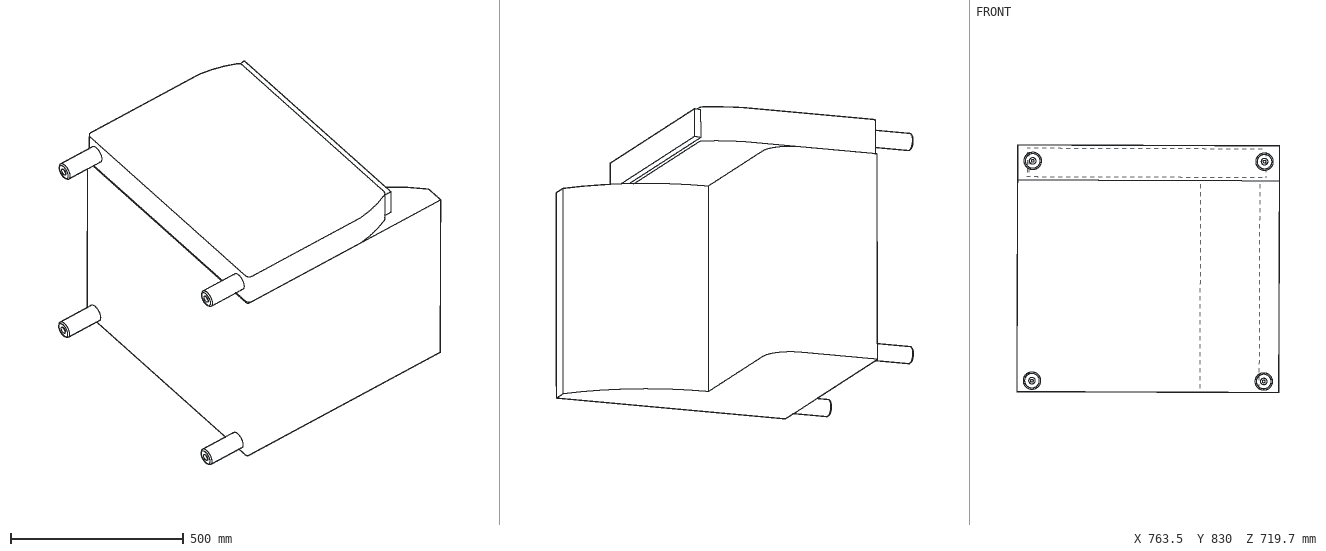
import cadquery as cq

WIDTH = 761.0
HEIGHT = 717.0
LEAN_ANGLE = 0.2

HEAD_HEIGHT = 102.0
HEAD_DEPTH = 537.0
HEAD_SHOULDER_Y = 415.0
HEAD_BACK_INSET = 36.5
HEAD_BOW = 6.0
HEAD_FRONT_Y = 2.5
HEAD_FRONT_RADIUS = 14.0
HEAD_BACK_RADIUS = 14.0
HEAD_BOTTOM = HEIGHT - HEAD_HEIGHT

PLATE_THICKNESS = 21.5
PLATE_HEIGHT = 83.0
PLATE_LEFT = 28.0
PLATE_RIGHT = WIDTH - 40.0
PLATE_TAPER = 5.0
PLATE_LIP = 5.0

BASE_DEPTH = 325.0
BASE_FRONT_RADIUS = 7.0
BASE_BACK_RADIUS = 85.5
COLUMN_BACK_Y = 711.0
COLUMN_TIP_WIDTH = 57.0
COLUMN_ARC_RADIUS = 519.0

FOOT_DIAMETER = 51.0
FOOT_LENGTH = 119.0
FOOT_CHAMFER = 4.0
FOOT_SIDE_OFFSET = 44.0
LOWER_FOOT_Z = 32.0
FOOT_Z_SPACING = 638.0
SOCKET_DIAMETER = 19.0
SOCKET_DEPTH = 8.0
BORE_DIAMETER = 8.0
BORE_DEPTH = 17.0


def make_head():
    """Slab with rounded front corners and sides that curve in toward the back."""
    mid_x = HEAD_BACK_INSET / 2 - HEAD_BOW
    mid_y = (HEAD_SHOULDER_Y + HEAD_DEPTH) / 2
    head = (
        cq.Workplane("XY", origin=(0, 0, HEAD_BOTTOM))
        .moveTo(0, HEAD_FRONT_Y)
        .lineTo(WIDTH, HEAD_FRONT_Y)
        .lineTo(WIDTH, HEAD_SHOULDER_Y)
        .threePointArc((WIDTH - mid_x, mid_y), (WIDTH - HEAD_BACK_INSET, HEAD_DEPTH))
        .lineTo(HEAD_BACK_INSET, HEAD_DEPTH)
        .threePointArc((mid_x, mid_y), (0, HEAD_SHOULDER_Y))
        .close()
        .extrude(HEAD_HEIGHT)
    )
    head = head.edges("|Z and <Y").fillet(HEAD_FRONT_RADIUS)
    return head.edges("|Z and >Y").fillet(HEAD_BACK_RADIUS)


def make_back_plate():
    """Thin plate behind the head, centred in its height."""
    back_y = HEAD_DEPTH + PLATE_THICKNESS
    plate_bottom = HEAD_BOTTOM + (HEAD_HEIGHT - PLATE_HEIGHT) / 2
    return (
        cq.Workplane("XY", origin=(0, 0, plate_bottom))
        .moveTo(PLATE_LEFT + PLATE_TAPER, HEAD_DEPTH)
        .lineTo(PLATE_RIGHT, HEAD_DEPTH)
        .lineTo(PLATE_RIGHT, back_y)
        .lineTo(PLATE_LEFT, back_y)
        .lineTo(PLATE_LEFT, back_y - PLATE_LIP)
        .close()
        .extrude(PLATE_HEIGHT)
    )


def make_column():
    """Rear column: a flat right side and a convex left side, starting parallel to Y."""
    column_rise = COLUMN_BACK_Y - BASE_DEPTH
    tip_x = WIDTH - COLUMN_TIP_WIDTH
    arc_center_x = tip_x + (COLUMN_ARC_RADIUS**2 - column_rise**2) ** 0.5
    column_left = arc_center_x - COLUMN_ARC_RADIUS
    return (
        cq.Workplane("XY")
        .moveTo(WIDTH, BASE_DEPTH)
        .lineTo(WIDTH, COLUMN_BACK_Y)
        .lineTo(tip_x, COLUMN_BACK_Y)
        .radiusArc((column_left, BASE_DEPTH), -COLUMN_ARC_RADIUS)
        .close()
        .extrude(HEAD_BOTTOM)
    )


def make_base():
    """Box with rounded corners, joined with the rear column as one solid."""
    base = cq.Workplane("XY").box(WIDTH, BASE_DEPTH, HEAD_BOTTOM, centered=False)
    base = base.edges("|Z and <Y").fillet(BASE_FRONT_RADIUS)
    base = base.edges("|Z and >Y and <X").fillet(BASE_BACK_RADIUS)
    return base.union(make_column())


def make_foot(x, front_y, z):
    """Round stud along -Y from front_y, with a chamfered end, a shallow socket and a small bore."""
    return (
        cq.Workplane("XZ", origin=(x, front_y, z))
        .circle(FOOT_DIAMETER / 2)
        .extrude(front_y + FOOT_LENGTH)
        .faces("<Y")
        .chamfer(FOOT_CHAMFER)
        .faces("<Y")
        .workplane()
        .cboreHole(BORE_DIAMETER, SOCKET_DIAMETER, SOCKET_DEPTH, BORE_DEPTH)
    )


head = make_head()
back_plate = make_back_plate()
base = make_base()

feet = []
for foot_x in (FOOT_SIDE_OFFSET, WIDTH - FOOT_SIDE_OFFSET):
    for face_y, foot_z in ((0, LOWER_FOOT_Z), (HEAD_FRONT_Y, LOWER_FOOT_Z + FOOT_Z_SPACING)):
        feet.append(make_foot(foot_x, face_y, foot_z).val())

upright = cq.Compound.makeCompound([head.val(), back_plate.val(), base.val(), *feet])
lean_axis_start = (0, 0, 0)
lean_axis_end = (0, 1, 0)
result = cq.Compound.makeCompound(
    [body.rotate(lean_axis_start, lean_axis_end, LEAN_ANGLE) for body in upright.Solids()]
)